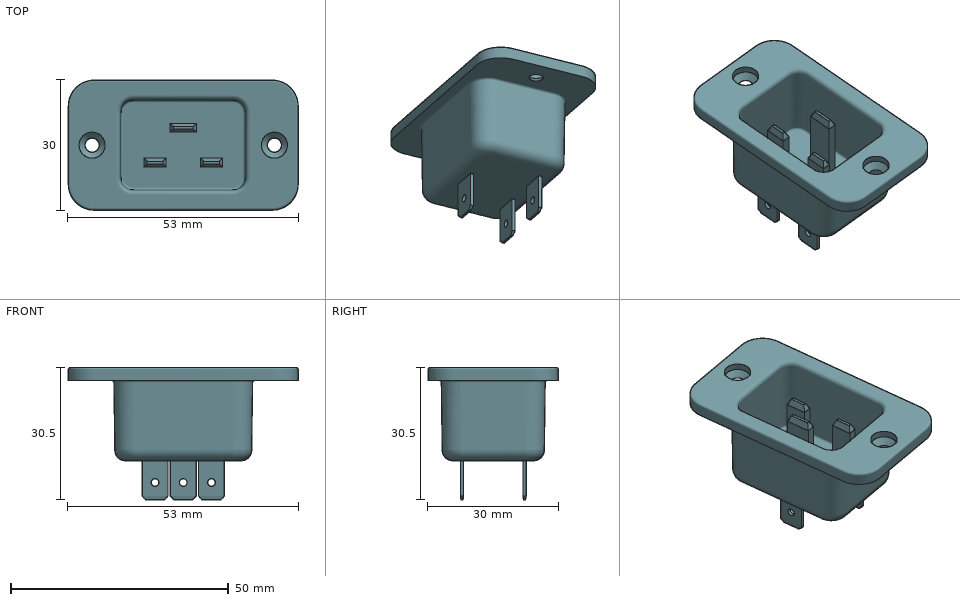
import cadquery as cq


FLANGE_LENGTH = 53.0
FLANGE_WIDTH = 30.0
FLANGE_THICKNESS = 3.0
FLANGE_CORNER_RADIUS = 6.0
FLANGE_EDGE_FILLET = 0.5

SCREW_SPACING = 42.0
SCREW_HOLE_DIAMETER = 3.2
SCREW_HEAD_DIAMETER = 6.0
COUNTERSINK_DEPTH = (SCREW_HEAD_DIAMETER - SCREW_HOLE_DIAMETER) / 2
HEAD_RECESS_DEPTH = FLANGE_THICKNESS - COUNTERSINK_DEPTH

CUP_LENGTH = 32.0
CUP_WIDTH = 24.0
CUP_CORNER_RADIUS = 4.5
CUP_BOTTOM_Z = -21.5
CUP_BOTTOM_FILLET = 2.5
CUP_ROOT_FILLET = 0.5
DRAFT_ANGLE = 0.75

WALL = 1.5
CAVITY_LENGTH = CUP_LENGTH - 2 * WALL
CAVITY_WIDTH = CUP_WIDTH - 2 * WALL
CAVITY_CORNER_RADIUS = CUP_CORNER_RADIUS - WALL
FLOOR_THICKNESS = 3.0
FLOOR_Z = CUP_BOTTOM_Z + FLOOR_THICKNESS
CAVITY_RIM_FILLET = 1.0
CAVITY_FLOOR_FILLET = 0.5

BLADE_SPACING = 6.5
BLADE_OFFSET = 4.0
BLADE_THICKNESS = 2.0
LINE_BLADE_WIDTH = 5.0
EARTH_BLADE_WIDTH = 6.0
LINE_BLADE_TOP_Z = -4.3
EARTH_BLADE_TOP_Z = -1.25
BLADE_TIP_HEIGHT = 1.5
BLADE_TIP_INSET = 0.7

TAB_OFFSET = 7.2
TAB_WIDTH = 6.0
TAB_THICKNESS = 0.8
TAB_BOTTOM_Z = -30.5
TAB_TIP_HEIGHT = 0.85
TAB_TIP_SIDE_INSET = TAB_TIP_HEIGHT
TAB_TIP_FACE_INSET = 0.15
TAB_HOLE_DIAMETER = 1.7
TAB_HOLE_Z = TAB_BOTTOM_Z + 4.0

CRANK_THICKNESS = TAB_THICKNESS
CRANK_Z = CUP_BOTTOM_Z + FLOOR_THICKNESS / 2
CRANK_BOTTOM_Z = CRANK_Z - CRANK_THICKNESS / 2
CRANK_TOP_Z = CRANK_Z + CRANK_THICKNESS / 2


def rounded_rectangle(length, width, radius, z):
    """Closed rounded-rectangle sketch centred on the Z axis at height z."""
    sketch = cq.Sketch().rect(length, width).vertices().fillet(radius)
    return cq.Workplane("XY", origin=(0, 0, z)).placeSketch(sketch)


def drafted_prism(length, width, radius, top_z, bottom_z):
    """Rounded-rectangle prism that narrows downward by the draft angle."""
    profile = rounded_rectangle(length, width, radius, top_z)
    return profile.extrude(bottom_z - top_z, taper=DRAFT_ANGLE)


def centred_box(width, thickness, bottom_z, top_z):
    """Box centred on the Z axis between two heights."""
    return cq.Workplane("XY", origin=(0, 0, bottom_z)).rect(width, thickness).extrude(top_z - bottom_z)


def tapered_tip(width, thickness, base_z, tip_z, side_inset, face_inset):
    """Pyramid frustum from the full section at base_z to the inset section at tip_z."""
    return (
        cq.Workplane("XY", origin=(0, 0, base_z))
        .rect(width, thickness)
        .workplane(offset=tip_z - base_z)
        .rect(width - 2 * side_inset, thickness - 2 * face_inset)
        .loft(ruled=True)
    )


def make_flange():
    profile = rounded_rectangle(FLANGE_LENGTH, FLANGE_WIDTH, FLANGE_CORNER_RADIUS, -FLANGE_THICKNESS)
    return profile.extrude(FLANGE_THICKNESS).faces(">Z").edges().fillet(FLANGE_EDGE_FILLET)


def make_cup():
    cup = drafted_prism(CUP_LENGTH, CUP_WIDTH, CUP_CORNER_RADIUS, -FLANGE_THICKNESS, CUP_BOTTOM_Z)
    return cup.faces("<Z").edges().fillet(CUP_BOTTOM_FILLET)


def make_cavity():
    cavity = drafted_prism(CAVITY_LENGTH, CAVITY_WIDTH, CAVITY_CORNER_RADIUS, 0, FLOOR_Z)
    return cavity.faces("<Z").edges().fillet(CAVITY_FLOOR_FILLET)


def make_screw_hole(x):
    """Sunk screw hole: straight head recess, countersink cone down to the back face."""
    head_radius = SCREW_HEAD_DIAMETER / 2
    hole_radius = SCREW_HOLE_DIAMETER / 2
    return (
        cq.Workplane("XZ")
        .polyline([
            (0, 0),
            (head_radius, 0),
            (head_radius, -HEAD_RECESS_DEPTH),
            (hole_radius, -FLANGE_THICKNESS),
            (0, -FLANGE_THICKNESS),
        ])
        .close()
        .revolve(360, (0, 0), (0, 1))
        .translate((x, 0, 0))
    )


def make_housing(pins):
    housing = make_flange().union(make_cup())

    root_half_length = CUP_LENGTH / 2 + CUP_ROOT_FILLET
    root_half_width = CUP_WIDTH / 2 + CUP_ROOT_FILLET
    root_edges = cq.selectors.BoxSelector(
        (-root_half_length, -root_half_width, -FLANGE_THICKNESS - CUP_ROOT_FILLET / 2),
        (root_half_length, root_half_width, -FLANGE_THICKNESS + CUP_ROOT_FILLET / 2),
        boundingbox=True,
    )
    housing = housing.edges(root_edges).fillet(CUP_ROOT_FILLET)

    housing = housing.cut(make_cavity())
    rim_edges = cq.selectors.BoxSelector(
        (-CUP_LENGTH / 2, -CUP_WIDTH / 2, -CAVITY_RIM_FILLET / 2),
        (CUP_LENGTH / 2, CUP_WIDTH / 2, CAVITY_RIM_FILLET / 2),
        boundingbox=True,
    )
    housing = housing.edges(rim_edges).fillet(CAVITY_RIM_FILLET)

    for x in (-SCREW_SPACING / 2, SCREW_SPACING / 2):
        housing = housing.cut(make_screw_hole(x))

    for pin in pins:
        housing = housing.cut(pin)
    return housing


def make_blade(width, top_z):
    shoulder_z = top_z - BLADE_TIP_HEIGHT
    shank = centred_box(width, BLADE_THICKNESS, CRANK_BOTTOM_Z, shoulder_z)
    tip = tapered_tip(width, BLADE_THICKNESS, shoulder_z, top_z, BLADE_TIP_INSET, BLADE_TIP_INSET)
    return shank.union(tip)


def make_tab():
    shoulder_z = TAB_BOTTOM_Z + TAB_TIP_HEIGHT
    shank = centred_box(TAB_WIDTH, TAB_THICKNESS, shoulder_z, CRANK_TOP_Z)
    tip = tapered_tip(
        TAB_WIDTH, TAB_THICKNESS, shoulder_z, TAB_BOTTOM_Z, TAB_TIP_SIDE_INSET, TAB_TIP_FACE_INSET
    )
    hole = (
        cq.Workplane("XZ", origin=(0, 0, TAB_HOLE_Z))
        .circle(TAB_HOLE_DIAMETER / 2)
        .extrude(TAB_THICKNESS, both=True)
    )
    return shank.union(tip).cut(hole)


def make_pin(x, side, blade_width, blade_top_z):
    """One-piece pin; side is +1 or -1 for the half of the connector it sits in."""
    blade = make_blade(blade_width, blade_top_z).translate((0, side * BLADE_OFFSET, 0))
    tab = make_tab().translate((0, side * TAB_OFFSET, 0))
    inner_y = BLADE_OFFSET - BLADE_THICKNESS / 2
    outer_y = TAB_OFFSET + TAB_THICKNESS / 2
    crank = centred_box(TAB_WIDTH, outer_y - inner_y, CRANK_BOTTOM_Z, CRANK_TOP_Z)
    crank = crank.translate((0, side * (inner_y + outer_y) / 2, 0))
    return blade.union(crank).union(tab).translate((x, 0, 0))


line_pins = [
    make_pin(x, -1, LINE_BLADE_WIDTH, LINE_BLADE_TOP_Z) for x in (-BLADE_SPACING, BLADE_SPACING)
]
earth_pin = make_pin(0, 1, EARTH_BLADE_WIDTH, EARTH_BLADE_TOP_Z)
housing = make_housing([*line_pins, earth_pin])

result = cq.Compound.makeCompound([
    housing.val(),
    *[pin.val() for pin in line_pins],
    earth_pin.val(),
])